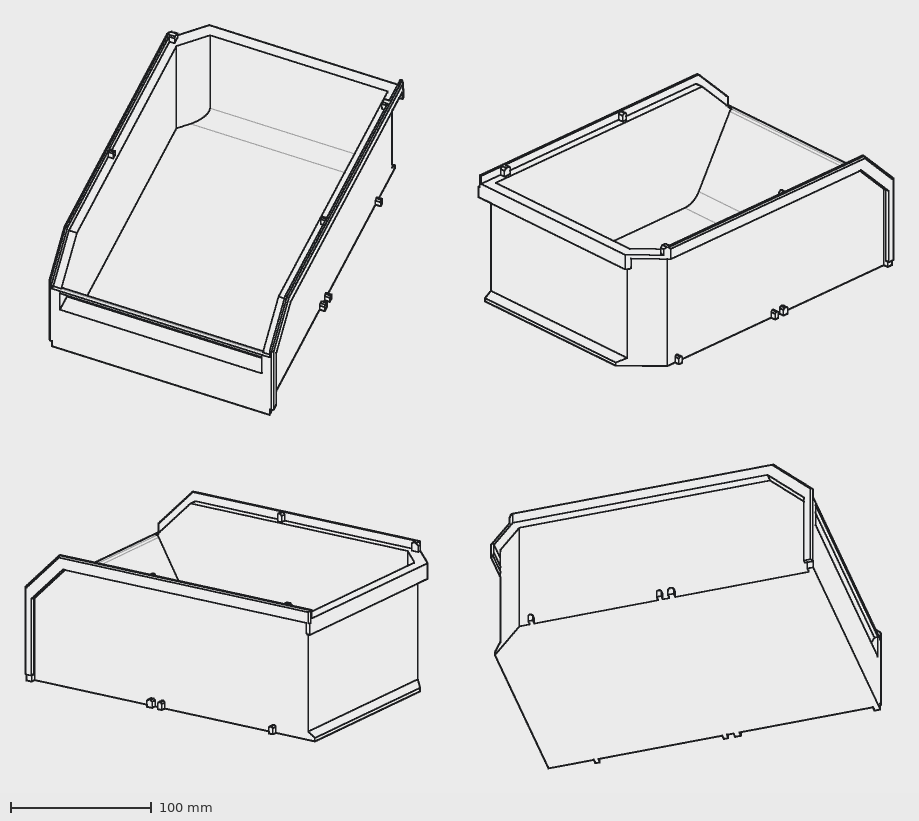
import cadquery as cq
import math

LENGTH = 245.0
HEIGHT = 100.0
WIDTH = 172.5

RAIL_THICKNESS = 2.7
RAIL_EDGE_CHAMFER = 1.2
RAIL_FRONT_WIDTH = 6.1
RAIL_FOOT_Z = 5.6
FRONT_HEIGHT = 70.8
SLOPE_RUN = HEIGHT - FRONT_HEIGHT

LEDGE_Z = 93.5
LEDGE_THICKNESS = 3.2
RIM_UNDERSIDE_Z = LEDGE_Z - LEDGE_THICKNESS
FRONT_PLATE_THICKNESS = 4.5
LIP_WIDTH = 2.5
HOOK_THICKNESS = 3.2
HOOK_DEPTH = 8.5
HOOK_CHAMFER = 1.2
HALF_RIM = WIDTH / 2 - RAIL_THICKNESS

WALL = 2.2
BACK_WALL = 2.7
FLOOR = 2.0
HALF_CAVITY = 77.5
HALF_BODY = HALF_CAVITY + WALL
BACK_WALL_Y = 239.0
RAMP_ANGLE = 60.0
RAMP_RADIUS = 16.0
LIP_RADIUS = 2.2
BACK_RADIUS = 10.5
BACK_FOOT_HEIGHT = 6.4
BACK_FOOT_EDGE = 2.7

RIM_CORNER_Y = 222.0
BODY_CORNER_Y = 219.0

LABEL_BOTTOM_Z = 43.5
LABEL_TOP_Z = 61.7

UPPER_TABS = [(225.6, 220.0), (108.5, 105.0)]
UPPER_TAB_REAR_CHAMFER = 1.7
UPPER_TAB_FRONT_CHAMFER = 1.0
LOWER_TABS = [(211.5, 208.0), (116.1, 112.7), (107.8, 103.5)]
LOWER_TAB_HEIGHT = 6.0
LOWER_TAB_CHAMFER = 1.2


def inset_drop(inset):
    """Vertical drop of the 45 degree slope when it is moved inward by inset."""
    return inset * math.sqrt(2)


def slope_y(z, inset):
    """Y at which the slope, moved inward by inset, reaches height z."""
    return z - FRONT_HEIGHT + inset_drop(inset)


def slope_z(y, inset):
    """Height of the slope, moved inward by inset, at position y."""
    return FRONT_HEIGHT + y - inset_drop(inset)


LEDGE_INSET = HEIGHT - LEDGE_Z
RIM_INSET = HEIGHT - RIM_UNDERSIDE_Z
LIP_Z = slope_z(LIP_WIDTH, LEDGE_INSET)
LEDGE_FRONT_Y = slope_y(LEDGE_Z, LEDGE_INSET)
RAMP_TOP_Y = LIP_WIDTH + LIP_RADIUS * math.tan(math.radians(RAMP_ANGLE / 2))


def across(points, x_start, x_end):
    """Extrude a (Y, Z) outline along X."""
    return cq.Workplane("YZ", origin=(x_start, 0, 0)).polyline(points).close().extrude(x_end - x_start)


def both_sides(solid):
    return solid.union(solid.mirror("YZ"))


def corner_cutter(half_width, corner_y):
    """Prism behind the 45 degree plane through (-half_width, corner_y)."""
    reach = WIDTH
    outline = [
        (-half_width - reach, corner_y - reach),
        (-half_width + reach, corner_y + reach),
        (-half_width - reach, corner_y + reach),
    ]
    return cq.Workplane("XY").polyline(outline).close().extrude(HEIGHT)


def under_rim(front_y, back_y):
    """Outline of the region enclosed by the rim, starting at front_y."""
    return [
        (front_y, 0),
        (front_y, slope_z(front_y, RIM_INSET)),
        (slope_y(RIM_UNDERSIDE_Z, RIM_INSET), RIM_UNDERSIDE_Z),
        (back_y, RIM_UNDERSIDE_Z),
        (back_y, 0),
    ]


def side_rails():
    outline = [
        (0, 0),
        (0, FRONT_HEIGHT),
        (SLOPE_RUN, HEIGHT),
        (LENGTH, HEIGHT),
        (LENGTH, 0),
    ]
    rail = across(outline, HALF_RIM, WIDTH / 2).faces(">X").chamfer(RAIL_EDGE_CHAMFER)
    rail = rail.cut(across(under_rim(RAIL_FRONT_WIDTH, LENGTH), HALF_RIM, WIDTH / 2))
    below = cq.Workplane("XY").box(WIDTH, LENGTH, RAIL_FOOT_Z, centered=(True, False, False))
    return both_sides(rail.cut(below))


def rim():
    outline = [
        (0, 0),
        (0, LIP_Z),
        (LIP_WIDTH, LIP_Z),
        (LEDGE_FRONT_Y, LEDGE_Z),
        (LENGTH, LEDGE_Z),
        (LENGTH, 0),
    ]
    band = across(outline, -HALF_RIM, HALF_RIM)
    return band.cut(across(under_rim(FRONT_PLATE_THICKNESS, LENGTH), -HALF_RIM, HALF_RIM))


def back_hook():
    hook_z = RIM_UNDERSIDE_Z - HOOK_DEPTH
    inner_y = LENGTH - HOOK_THICKNESS
    outline = [
        (inner_y, RIM_UNDERSIDE_Z),
        (LENGTH, RIM_UNDERSIDE_Z),
        (LENGTH, hook_z),
        (inner_y + HOOK_CHAMFER, hook_z),
        (inner_y, hook_z + HOOK_CHAMFER),
    ]
    return across(outline, -WIDTH / 2, WIDTH / 2)


def body():
    outline = [
        (0, 0),
        (0, LIP_Z),
        (LIP_WIDTH, LIP_Z),
        (LEDGE_FRONT_Y, LEDGE_Z),
        (BACK_WALL_Y, LEDGE_Z),
        (BACK_WALL_Y, BACK_FOOT_HEIGHT),
        (LENGTH, BACK_FOOT_EDGE),
        (LENGTH, 0),
    ]
    solid = across(outline, -HALF_BODY, HALF_BODY)
    return solid.cut(corner_cutter(HALF_BODY, BODY_CORNER_Y))


def ramp_y(z):
    """Y of the ramp plane at height z."""
    return RAMP_TOP_Y + (LIP_Z - z) / math.tan(math.radians(RAMP_ANGLE))


def cavity():
    back_y = BACK_WALL_Y - BACK_WALL
    half_turn = math.radians(RAMP_ANGLE / 2)
    turn = math.radians(RAMP_ANGLE)
    round_mid = (LIP_WIDTH + LIP_RADIUS * math.sin(half_turn), LIP_Z - LIP_RADIUS * (1 - math.cos(half_turn)))
    round_end = (LIP_WIDTH + LIP_RADIUS * math.sin(turn), LIP_Z - LIP_RADIUS * (1 - math.cos(turn)))
    solid = (
        cq.Workplane("YZ", origin=(-HALF_CAVITY, 0, 0))
        .moveTo(LIP_WIDTH, LIP_Z)
        .threePointArc(round_mid, round_end)
        .lineTo(ramp_y(FLOOR), FLOOR)
        .lineTo(back_y, FLOOR)
        .lineTo(back_y, HEIGHT)
        .lineTo(LIP_WIDTH, HEIGHT)
        .close()
        .extrude(2 * HALF_CAVITY)
    )
    solid = solid.faces("<Z").edges("<Y").fillet(RAMP_RADIUS)
    solid = solid.faces("<Z").edges(">Y").fillet(BACK_RADIUS)
    inner_corner_y = BODY_CORNER_Y + WALL - inset_drop(WALL)
    return solid.cut(corner_cutter(HALF_CAVITY, inner_corner_y))


def label_pocket():
    """Recess whose sloping back lies one wall thickness in front of the ramp."""
    ramp_offset = WALL / math.sin(math.radians(RAMP_ANGLE))
    outline = [
        (0, LABEL_BOTTOM_Z),
        (0, LABEL_TOP_Z),
        (ramp_y(LABEL_TOP_Z) - ramp_offset, LABEL_TOP_Z),
        (ramp_y(LABEL_BOTTOM_Z) - ramp_offset, LABEL_BOTTOM_Z),
    ]
    return across(outline, -HALF_CAVITY, HALF_CAVITY)


def tab(y_rear, y_front, z_bottom, z_top, rear_chamfer, front_chamfer):
    """One tab on each side, bevelled at its upper rear and front edges."""
    outline = [
        (y_front, z_bottom),
        (y_front, z_top - front_chamfer),
        (y_front + front_chamfer, z_top),
        (y_rear - rear_chamfer, z_top),
        (y_rear, z_top - rear_chamfer),
        (y_rear, z_bottom),
    ]
    return both_sides(across(outline, HALF_BODY, HALF_RIM))


collar = side_rails().union(rim()).union(back_hook())
for rear, front in UPPER_TABS:
    collar = collar.union(
        tab(rear, front, LEDGE_Z, HEIGHT, UPPER_TAB_REAR_CHAMFER, UPPER_TAB_FRONT_CHAMFER)
    )
collar = collar.cut(corner_cutter(WIDTH / 2, RIM_CORNER_Y))

result = collar.union(body())
for rear, front in LOWER_TABS:
    result = result.union(tab(rear, front, 0, LOWER_TAB_HEIGHT, LOWER_TAB_CHAMFER, LOWER_TAB_CHAMFER))
result = result.cut(cavity()).cut(label_pocket())